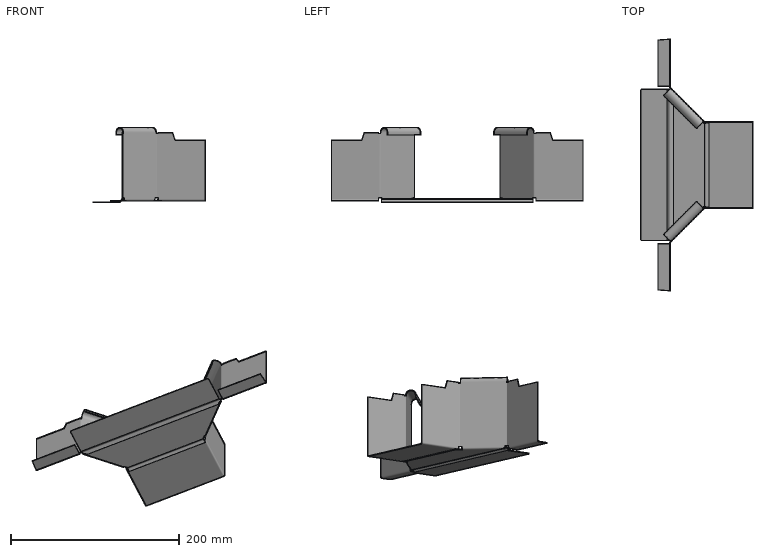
import cadquery as cq
import math

length_x = 133.5
width_y = 299.2
half_width = width_y / 2
height_z = 89.5
clear = 3.0

cos45 = math.sqrt(0.5)
diagonal_inward = (-cos45, -cos45)

sheet = 1.0
bend_inner = sheet
bend_outer = bend_inner + sheet
floor_z = 1.8

flap_length = 57.7
channel_y = 51.8
corner_x = length_x - flap_length
corner_y = half_width - flap_length
diagonal_run = corner_y - channel_y
wing_x = corner_x - diagonal_run
diagonal_centre = (wing_x + diagonal_run / 2, channel_y + diagonal_run / 2)

flap_top = 83.2
flap_low_top = 74.2
step_start = 18.8
step_end = 21.8

roll_radius = 6.3
roll_lip = 2.7
roll_inset = 0.5
roll_base = height_z - roll_radius

tongue_half_width = 90.0
tongue_corner = 1.2
ledge_start_x = 20.5
ledge_end_slant = 1.0

relief_back = 1.95
relief_front = 1.5
relief_top = 5.7
top_notch_back = 0.5
top_notch_depth = 1.0

bead_peak = 4.5
bead_round = 1.5
front_bead = (31.7, 35.0, 39.2)
rear_bead = (76.0, 78.0, 81.5)


def box(x0, x1, y0, y1, z0, z1):
    return cq.Workplane("XY").box(x1 - x0, y1 - y0, z1 - z0, centered=False).translate((x0, y0, z0))


def section_plane(centre, inward):
    """Upright plane across a wall: local x points inward from its outer face, local y points up."""
    inward_x, inward_y = inward
    return cq.Plane(origin=(*centre, 0), xDir=(inward_x, inward_y, 0), normal=(inward_y, -inward_x, 0))


def wall_strip():
    """Wing, diagonal and channel wall as one bent strip."""
    miter = sheet * math.tan(math.pi / 8)
    strip = (
        cq.Workplane("XY")
        .workplane(offset=floor_z + bend_outer)
        .moveTo(wing_x, half_width)
        .lineTo(wing_x, corner_y)
        .lineTo(corner_x, channel_y)
        .lineTo(length_x, channel_y)
        .lineTo(length_x, channel_y - sheet)
        .lineTo(corner_x - miter, channel_y - sheet)
        .lineTo(wing_x - sheet, corner_y - miter)
        .lineTo(wing_x - sheet, half_width)
        .close()
        .extrude(roll_base - floor_z - bend_outer)
    )
    outside_corners = [(wing_x, corner_y), (corner_x, channel_y)]
    inside_corners = [(wing_x - sheet, corner_y - miter), (corner_x - miter, channel_y - sheet)]
    for corners, radius in ((outside_corners, bend_inner), (inside_corners, bend_outer)):
        for x, y in corners:
            upright_edge = cq.selectors.NearestToPointSelector((x, y, height_z / 2))
            strip = strip.edges(upright_edge).fillet(radius)
    return strip


def flap_top_cutter():
    """Waste above a flap, drawn with x along the flap from its corner and z up."""
    return (
        cq.Workplane("XZ")
        .moveTo(relief_front, flap_top)
        .lineTo(step_start, flap_top)
        .lineTo(step_end, flap_low_top)
        .lineTo(flap_length + clear, flap_low_top)
        .lineTo(flap_length + clear, height_z)
        .lineTo(relief_front, height_z)
        .close()
        .extrude(clear, both=True)
    )


def corner_cutter():
    """Bottom relief and top notch at a bend, drawn with x along the flap and y outward."""
    bottom = box(-relief_back, relief_front, -bend_outer, relief_back + sheet, 0, relief_top)
    top = box(-top_notch_back, relief_front, -clear, clear, flap_top - top_notch_depth, height_z)
    return bottom.union(top)


def along_channel(cutter):
    return cutter.translate((corner_x, channel_y, 0))


def along_wing(cutter):
    """Reflect a channel-side cutter across the symmetry line of the diagonal wall."""
    turned = cutter.rotate((0, 0, 0), (0, 0, 1), 90).mirror("YZ")
    return turned.translate((wing_x, corner_y, 0))


def bottom_bend(centre, inward, length):
    """Quarter-round bend joining a wall to the sheet at its foot."""
    arc_z = floor_z + bend_outer
    outer_mid = (bend_outer - bend_outer * cos45, arc_z - bend_outer * cos45)
    inner_mid = (bend_outer - bend_inner * cos45, arc_z - bend_inner * cos45)
    return (
        cq.Workplane(section_plane(centre, inward))
        .moveTo(0, arc_z)
        .threePointArc(outer_mid, (bend_outer, floor_z))
        .lineTo(bend_outer, floor_z + sheet)
        .threePointArc(inner_mid, (sheet, arc_z))
        .close()
        .extrude(length / 2, both=True)
    )


def rolled_rim():
    """Half-round rim with a short straight lip, curling inward over the diagonal wall."""
    span = 2 * roll_radius
    return (
        cq.Workplane(section_plane(diagonal_centre, diagonal_inward))
        .moveTo(0, roll_base)
        .threePointArc((roll_radius, height_z), (span, roll_base))
        .lineTo(span, roll_base - roll_lip)
        .lineTo(span - sheet, roll_base - roll_lip)
        .lineTo(span - sheet, roll_base)
        .threePointArc((roll_radius, height_z - sheet), (sheet, roll_base))
        .close()
        .extrude(diagonal_run / cos45 / 2 - roll_inset, both=True)
    )


def ledge():
    """Foot of a wing, with its outer end slightly slanted."""
    return (
        cq.Workplane("XY")
        .workplane(offset=floor_z)
        .moveTo(ledge_start_x, corner_y + relief_front)
        .lineTo(wing_x - bend_outer, corner_y + relief_front)
        .lineTo(wing_x - bend_outer, half_width)
        .lineTo(ledge_start_x, half_width - ledge_end_slant)
        .close()
        .extrude(sheet)
    )


def floor():
    """Tongue, middle floor and channel floor as one sheet with two beads."""
    tongue_mid = sheet / 2
    floor_mid = floor_z + sheet / 2
    centre_line = cq.Wire.makePolygon(
        [
            cq.Vector(x, 0, z)
            for x, z in (
                (-clear, tongue_mid),
                (front_bead[0], tongue_mid),
                (front_bead[1], bead_peak),
                (front_bead[2], floor_mid),
                (rear_bead[0], floor_mid),
                (rear_bead[1], bead_peak),
                (rear_bead[2], floor_mid),
                (length_x + clear, floor_mid),
            )
        ]
    )
    peaks = [v for v in centre_line.Vertices() if math.isclose(v.Z, bead_peak)]
    rounded = centre_line.fillet2D(bead_round, peaks)
    section = rounded.offset2D(sheet / 2)[0]
    sheet_solid = cq.Solid.extrudeLinear(section, [], cq.Vector(0, width_y, 0))
    sheet_body = cq.Workplane(obj=sheet_solid).translate((0, -half_width, 0))

    shoulder_x = wing_x + relief_back
    edge_sum = wing_x + corner_y - bend_outer / cos45
    channel_edge = channel_y - bend_outer
    half_plan = [
        (0, tongue_half_width - tongue_corner),
        (tongue_corner, tongue_half_width),
        (shoulder_x, tongue_half_width),
        (shoulder_x, edge_sum - shoulder_x),
        (edge_sum - channel_edge, channel_edge),
        (length_x, channel_edge),
    ]
    other_half = [(x, -y) for x, y in reversed(half_plan)]
    plan = cq.Workplane("XY").polyline(half_plan + other_half).close().extrude(height_z)
    return sheet_body.intersect(plan)


def side():
    """Everything on the +Y side except the floor."""
    walls = wall_strip()
    for cutter in (flap_top_cutter(), corner_cutter()):
        walls = walls.cut(along_channel(cutter)).cut(along_wing(cutter))
    bend_length = flap_length - relief_front
    bend_centre = relief_front + bend_length / 2
    wing_bend = bottom_bend((wing_x, corner_y + bend_centre), (-1, 0), bend_length)
    channel_bend = bottom_bend((corner_x + bend_centre, channel_y), (0, -1), bend_length)
    diagonal_length = (diagonal_run - 2 * relief_back) / cos45
    diagonal_bend = bottom_bend(diagonal_centre, diagonal_inward, diagonal_length)
    for piece in (wing_bend, channel_bend, diagonal_bend, rolled_rim(), ledge()):
        walls = walls.union(piece)
    return walls


half = side()
result = floor().union(half).union(half.mirror("XZ"))